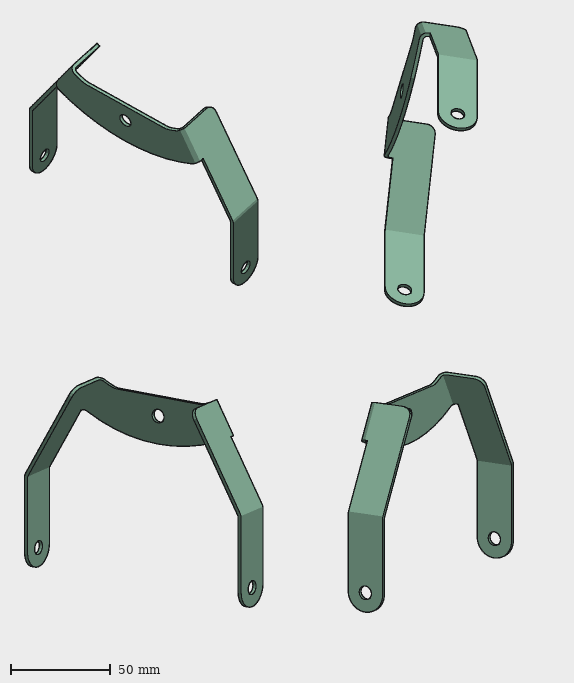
import cadquery as cq
import math

width = 130.0
depth = 25.0
height = 100.6
thickness = 2.0

arm_width = 20.0
arm_lean = math.radians(30)
knee_height = 50.0
back_corner_radius = 5.0
hole_diameter = 7.0

bend_outer_radius = 4.0
bend_inner_radius = bend_outer_radius - thickness

web_band = 20.0
web_top = 96.0
web_bottom = 71.1
web_corner_radius = 10.0
web_hole_height = 85.8

half_width = width / 2
arm_front = depth - arm_width
tip_radius = arm_width / 2
shoulder_x = -half_width + (height - knee_height) * math.tan(arm_lean)

lean_down = (-math.sin(arm_lean), -math.cos(arm_lean))
inward = (math.cos(arm_lean), -math.sin(arm_lean))


def from_shoulder(along, across):
    """XZ point reached from the outer top corner of the left arm."""
    return (
        shoulder_x + along * lean_down[0] + across * inward[0],
        height + along * lean_down[1] + across * inward[1],
    )


def make_arm():
    inner_x = -half_width + thickness
    inner_knee_height = knee_height - thickness * math.tan(arm_lean / 2)
    strip = (
        cq.Workplane("XZ", origin=(0, arm_front, 0))
        .polyline([
            (-half_width, 0),
            (-half_width, knee_height),
            from_shoulder(0, 0),
            from_shoulder(0, thickness),
            (inner_x, inner_knee_height),
            (inner_x, 0),
        ])
        .close()
        .extrude(-arm_width)
    )

    def knee_edge(x, z):
        return cq.selectors.NearestToPointSelector((x, arm_front + tip_radius, z))

    strip = strip.edges(knee_edge(-half_width, knee_height)).fillet(bend_outer_radius)
    strip = strip.edges(knee_edge(inner_x, inner_knee_height)).fillet(bend_inner_radius)

    corner_x, corner_z = from_shoulder(0, thickness / 2)
    back_corner = cq.selectors.NearestToPointSelector((corner_x, depth, corner_z))
    strip = strip.edges(back_corner).fillet(back_corner_radius)

    side_outline = (
        cq.Workplane("YZ", origin=(-half_width, 0, 0))
        .moveTo(arm_front, height)
        .lineTo(arm_front, tip_radius)
        .threePointArc((arm_front + tip_radius, 0), (depth, tip_radius))
        .lineTo(depth, height)
        .close()
        .extrude(half_width)
    )
    hole = (
        cq.Workplane("YZ", origin=(-half_width, 0, 0))
        .center(arm_front + tip_radius, tip_radius)
        .circle(hole_diameter / 2)
        .extrude(thickness)
    )
    return strip.intersect(side_outline).cut(hole)


def make_web_bend():
    """Quarter bend from the web to the front edge of the left arm."""
    arc_factor = 1 - math.sqrt(0.5)
    outer_mid = bend_outer_radius * arc_factor
    inner_mid = thickness + bend_inner_radius * arc_factor
    section_plane = cq.Plane(
        origin=(shoulder_x, 0, height),
        xDir=(0, 1, 0),
        normal=(lean_down[0], 0, lean_down[1]),
    )
    return (
        cq.Workplane(section_plane)
        .moveTo(arm_front, 0)
        .lineTo(bend_outer_radius, 0)
        .threePointArc((outer_mid, outer_mid), (0, bend_outer_radius))
        .lineTo(thickness, bend_outer_radius)
        .threePointArc((inner_mid, inner_mid), (bend_outer_radius, thickness))
        .lineTo(arm_front, thickness)
        .close()
        .extrude(web_band)
    )


def make_web():
    """Curved plate between the two bends, with a flat top and blended corners."""
    upper_x, upper_z = from_shoulder(0, bend_outer_radius)
    lower_x, lower_z = from_shoulder(web_band, bend_outer_radius)

    lower_rise = lower_z - web_bottom
    lower_radius = (lower_x**2 + lower_rise**2) / (2 * lower_rise)
    centre_z = web_bottom + lower_radius
    upper_radius = math.hypot(upper_x, centre_z - upper_z)
    flat_half = math.sqrt(upper_radius**2 - (centre_z - web_top) ** 2)

    mid_angle = (math.asin(-upper_x / upper_radius) + math.asin(flat_half / upper_radius)) / 2
    mid_x = upper_radius * math.sin(mid_angle)
    mid_z = centre_z - upper_radius * math.cos(mid_angle)

    plate = (
        cq.Workplane("XZ")
        .moveTo(upper_x, upper_z)
        .threePointArc((-mid_x, mid_z), (-flat_half, web_top))
        .lineTo(flat_half, web_top)
        .threePointArc((mid_x, mid_z), (-upper_x, upper_z))
        .lineTo(-lower_x, lower_z)
        .threePointArc((0, web_bottom), (lower_x, lower_z))
        .close()
        .extrude(-thickness)
    )
    for corner_x in (-flat_half, flat_half):
        corner = cq.selectors.NearestToPointSelector((corner_x, thickness / 2, web_top))
        plate = plate.edges(corner).fillet(web_corner_radius)

    hole = (
        cq.Workplane("XZ")
        .center(0, web_hole_height)
        .circle(hole_diameter / 2)
        .extrude(-thickness)
    )
    return plate.cut(hole)


left_side = make_arm().union(make_web_bend())
result = make_web().union(left_side).union(left_side.mirror("YZ"))